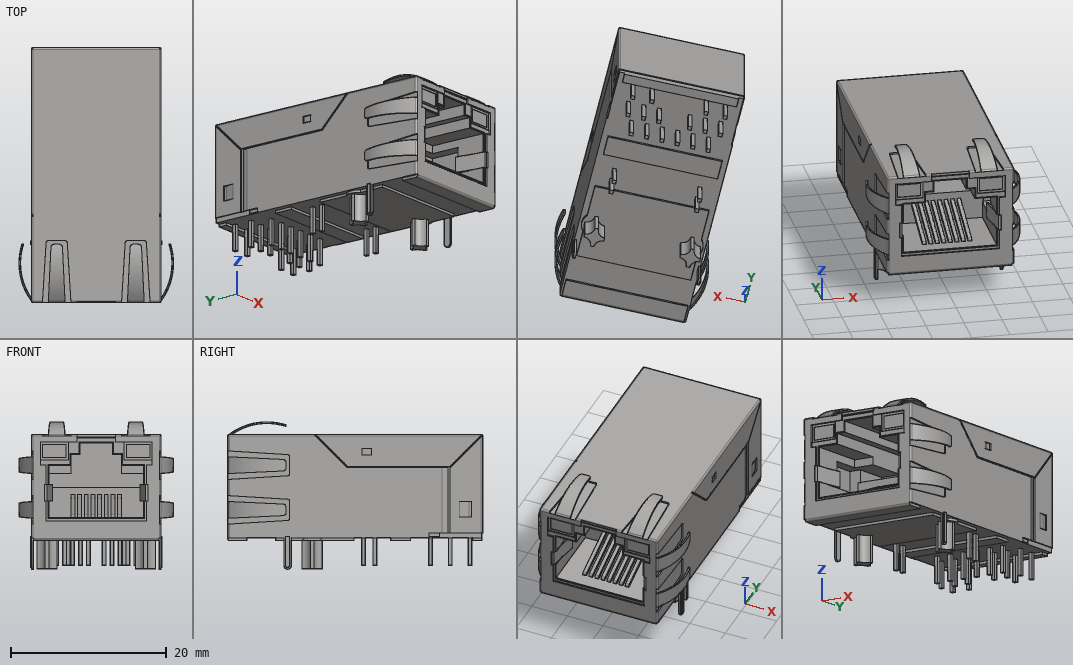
import cadquery as cq
import math


half_width = 8.33
length = 32.8
height = 13.32
sheet = 0.213
bend_radius = 0.23

spring_rise = 1.6
spring_crest_y = 5.05
spring_root_y = 0.2
spring_tip_y = 7.5
spring_root_half = 1.08
spring_tip_half = 0.72
spring_corner = 0.43
slot_corner = 0.25
spring_gap = 0.45
slot_root_half = 1.85
slot_tip_half = 1.35
top_spring_x = 5.1
side_spring_heights = (3.6, 9.35)

cavity_half = 6.23
cavity_floor = 2.5
shoulder_z = 9.45
shoulder_half = 3.38
latch_z = 10.85
latch_half = 2.23
lip_half = 2.45
lip_z = 13.0
lip_setback = 0.13
lip_slit = 0.13
cavity_top = 12.33
mouth_depth = 0.33
mouth_step = 0.13
cavity_depth = 14.75
ledge_y = 8.53
ledge_z = 8.25
carrier_y = 9.5
carrier_top = 6.5

light_inner = 3.58
light_outer = 7.18
light_bottom = 10.05
light_rim = 0.3
light_rim_depth = 0.33
light_depth = 0.4
light_frame_bottom = 9.35

wing_bottom = 4.75
wing_top = 6.85
wing_recess_half = 6.65
wing_recess_depth = 9.85
wing_pocket_half = 7.7
wing_root_x = 6.33
wing_tip_x = 5.6
wing_tip_y = 4.43

contact_count = 8
contact_pitch = 0.85
contact_width = 0.5
contact_tip_y = 2.25
contact_tip_radius = 0.3
contact_tip_top = 2.92
contact_root_top = 5.67

foot_drop = 0.35
pin_end = -3.55
pin_width = 0.5
peg_x = 6.33
peg_y = 10.85
peg_radius = 1.3
peg_flute_radius = 1.08
peg_collar_radius = 1.67
peg_end = -3.97
tail_end = -4.05
tail_y = 7.7
tail_width = 0.95
tail_inner_x = 8.07
tail_rib_width = 0.5
tail_rib_height = 0.13
tail_rib_top = 0.2

panel_seam = 0.13
panel_bottom = 0.65
flap_bottom = 9.12
flap_rear_y = 28.6
flap_front_y = 15.38
rear_curl_y = 27.55
rear_gap_y = 28.3
side_panel_end_y = 25.88
rear_notch_y = 27.25


def box(x0, x1, y0, y1, z0, z1):
    return cq.Workplane("XY").box(x1 - x0, y1 - y0, z1 - z0, centered=False).translate((x0, y0, z0))


def both_sides(solid):
    """The solid together with its mirror image across the middle plane X = 0."""
    return solid.union(solid.mirror("YZ"))


def symmetric_prism(half_outline, y0, y1, inset=0.0):
    """Prism along Y; the outline gives its right half from top to bottom as (x, z)."""
    left = [(-x, z) for x, z in reversed(half_outline)]
    outline = cq.Workplane("XZ", origin=(0, y0, 0)).polyline(half_outline + left).close()
    if inset:
        outline = outline.offset2D(-inset, "intersection")
    return outline.extrude(y0 - y1)



def tapered_plan(root_half, tip_half, end_y, corner, bottom, top):
    points = [(-root_half, 0), (root_half, 0), (tip_half, end_y), (-tip_half, end_y)]
    plan = cq.Workplane("XY", origin=(0, 0, bottom)).polyline(points).close().extrude(top - bottom)
    return plan.edges("|Z and >Y").fillet(corner)


def spring_slot():
    return tapered_plan(slot_root_half, slot_tip_half, spring_tip_y + spring_gap, slot_corner, -sheet, 0.33)


def spring():
    run = spring_crest_y - spring_root_y
    radius = (run ** 2 + spring_rise ** 2) / (2 * spring_rise)
    inner_radius = radius - sheet
    centre_z = spring_rise - radius

    def on_arc(arc_radius, y):
        return (y, centre_z + math.sqrt(arc_radius ** 2 - (y - spring_crest_y) ** 2))

    embed = -sheet - 0.03
    inner_root_y = spring_crest_y - math.sqrt(inner_radius ** 2 - (embed - centre_z) ** 2)
    strip = (
        cq.Workplane("YZ", origin=(-spring_root_half, 0, 0))
        .moveTo(0, embed)
        .lineTo(0, -bend_radius)
        .lineTo(spring_root_y, 0)
        .threePointArc((spring_crest_y, spring_rise), on_arc(radius, spring_tip_y))
        .lineTo(*on_arc(inner_radius, spring_tip_y))
        .threePointArc((spring_crest_y, spring_rise - sheet), (inner_root_y, embed))
        .close()
        .extrude(2 * spring_root_half)
    )
    plan = tapered_plan(spring_root_half, spring_tip_half, spring_tip_y, spring_corner, -0.33, spring_rise + 0.33)
    return strip.intersect(plan)


def at_spring_places(solid):
    """Two copies on the top wall and two on each side wall."""
    turned = solid.rotate((0, 0, 0), (0, 1, 0), 90)
    places = solid.translate((top_spring_x, 0, height))
    for z in side_spring_heights:
        places = places.union(turned.translate((half_width, 0, z)))
    return both_sides(places)



def shield_body():
    body = box(-half_width, half_width, 0, length, 0, height)
    return body.edges("|Z or >Z").fillet(bend_radius)


def flap_seam():
    """Seam around the trapezoid flap that the top cover folds over each side."""
    above = height + 0.65
    slope_run = above - flap_bottom
    points = [
        (flap_rear_y + slope_run, above),
        (flap_rear_y, flap_bottom),
        (flap_front_y, flap_bottom),
        (flap_front_y - slope_run, above),
    ]

    def flap(offset):
        outline = cq.Workplane("YZ", origin=(half_width - sheet, 0, 0)).polyline(points).close()
        return outline.offset2D(offset, "intersection").extrude(0.33)

    return flap(panel_seam / 2).cut(flap(-panel_seam / 2))


def rear_gap():
    """Upright gap before the rear panel, where the side panel curls inward."""
    inner_x = half_width - sheet
    curl_mid_y = (rear_curl_y + rear_gap_y) / 2
    return (
        cq.Workplane("XY", origin=(0, 0, panel_bottom))
        .moveTo(half_width, rear_curl_y)
        .threePointArc((half_width - 0.05, curl_mid_y), (inner_x, rear_gap_y))
        .lineTo(inner_x, flap_rear_y)
        .lineTo(half_width + 0.33, flap_rear_y)
        .lineTo(half_width + 0.33, rear_curl_y)
        .close()
        .extrude(flap_bottom - panel_bottom)
    )


def latch_windows():
    """Square hole in the flap and a window with a ramped catch in the rear panel."""
    inner_x = half_width - sheet
    window_bottom = 2.7
    window_height = 2.0
    ramp_start_y = 29.8
    ramp_end_y = 31.03
    window_end_y = 31.32
    square = box(inner_x, half_width + 0.33, 17.25, 18.45, 10.63, 11.5)
    ramp = (
        cq.Workplane("XY", origin=(0, 0, window_bottom))
        .moveTo(half_width, ramp_start_y)
        .lineTo(inner_x, ramp_end_y)
        .lineTo(inner_x, window_end_y)
        .lineTo(half_width, window_end_y)
        .close()
        .extrude(window_height)
    )
    return square.union(ramp)


def rear_base_step():
    """Exposed housing below the rear panel, set back from the shield."""
    setback = 0.13
    around = box(-half_width, half_width, side_panel_end_y, length, 0, panel_bottom)
    kept_half = half_width - setback
    step = around.cut(box(-kept_half, kept_half, 0, length - setback, 0, panel_bottom))
    notch = box(half_width - 2 * setback, half_width, side_panel_end_y, rear_notch_y, 0.15, panel_bottom)
    return step.union(both_sides(notch))



def face_opening():
    """Opening of the front shield plate, with a slit below the set-back edge of the cover."""
    frame_half = 6.43
    opening = symmetric_prism(
        [
            (lip_half, lip_z),
            (lip_half, cavity_top),
            (light_outer, cavity_top),
            (light_outer, light_frame_bottom),
            (frame_half, light_frame_bottom),
            (frame_half, wing_top),
            (wing_recess_half, wing_top),
            (wing_recess_half, wing_bottom),
            (frame_half, wing_bottom),
            (frame_half, 2.2),
        ],
        0,
        sheet,
    )
    cover_setback = box(-lip_half, lip_half, 0, lip_setback, lip_z, height)
    slit = box(-lip_half, lip_half, 0, 2 * sheet, lip_z - lip_slit, lip_z)
    return opening.union(cover_setback).union(slit)


def socket_cavity():
    mouth = [
        (latch_half, cavity_top),
        (latch_half, latch_z),
        (shoulder_half, latch_z),
        (shoulder_half, shoulder_z),
        (cavity_half, shoulder_z),
        (cavity_half, cavity_floor),
    ]
    cavity = symmetric_prism(mouth, 0, mouth_depth)
    cavity = cavity.union(symmetric_prism(mouth, 0, cavity_depth, mouth_step))
    ledge = box(shoulder_half - mouth_step, cavity_half, ledge_y, cavity_depth, ledge_z, shoulder_z)
    carrier = box(-cavity_half, cavity_half, carrier_y, cavity_depth, 0, carrier_top)
    recess = box(0, wing_recess_half, 0, wing_recess_depth, wing_bottom, wing_top)
    pocket = box(0, wing_pocket_half, wing_tip_y, wing_recess_depth, wing_bottom, ledge_z)
    return cavity.cut(both_sides(ledge)).union(both_sides(recess.union(pocket))).cut(carrier)


def light_window():
    """Stepped recess of each indicator light."""
    rim = box(light_inner, light_outer, 0, light_rim_depth, light_bottom, cavity_top)
    lens = box(
        light_inner + light_rim, light_outer - light_rim, 0, light_depth,
        light_bottom + light_rim, cavity_top - light_rim,
    )
    return both_sides(rim.union(lens))


def side_wing():
    """Bent shield strip that leans from the recess into the socket."""
    outer = wing_recess_half + 0.13
    strip = (
        cq.Workplane("XY", origin=(0, 0, wing_bottom))
        .polyline([
            (outer, sheet),
            (wing_root_x, sheet),
            (wing_tip_x, wing_tip_y),
            (wing_tip_x + sheet, wing_tip_y),
            (outer, 0.65),
        ])
        .close()
        .extrude(wing_top - wing_bottom)
    )
    return both_sides(strip)


def contacts():
    root_y = carrier_y + 0.33
    profile = [
        (contact_tip_y, cavity_floor),
        (contact_tip_y, contact_tip_top),
        (root_y, contact_root_top),
        (root_y, contact_root_top - contact_tip_top + cavity_floor),
    ]
    bar = cq.Workplane("YZ").polyline(profile).close().extrude(contact_width / 2, both=True)
    bar = bar.faces("<Y").edges(">Z").fillet(contact_tip_radius)
    row = cq.Workplane("XY")
    for i in range(contact_count):
        row = row.add(bar.translate(((i - (contact_count - 1) / 2) * contact_pitch, 0, 0)))
    return row.combine()



def feet():
    front_half = 8.07
    rear_half = 7.55
    front_pad = box(-front_half, front_half, 0, 2.45, -foot_drop, 0.33)
    pads = cq.Workplane("XY").add(front_pad.faces("<Y").edges("<Z").fillet(0.3))
    for y0, y1 in ((6.15, 16.27), (20.95, 23.52), (31.5, 32.67)):
        pads = pads.add(box(-rear_half, rear_half, y0, y1, -foot_drop, 0.33))
    return pads.combine()


def solder_pins():
    rows = (
        (17.45, (5.65,)),
        (18.93, (5.65,)),
        (26.08, (1.02, 3.05, 5.1)),
        (28.6, (2.05, 4.07, 6.1)),
        (31.15, (3.58, 6.1)),
    )
    half = pin_width / 2
    pins = cq.Workplane("XY")
    for y, places in rows:
        for x in places:
            pins = pins.add(box(x - half, x + half, y - half, y + half, pin_end, 0.33))
    return both_sides(pins.combine())


def mounting_peg():
    """Cross-shaped peg: a round post with four hollow flutes below a round collar."""
    post = cq.Workplane("XY").circle(peg_radius).extrude(peg_end)
    flutes = (
        cq.Workplane("XY")
        .rect(2 * peg_radius, 2 * peg_radius, forConstruction=True)
        .vertices()
        .circle(peg_flute_radius)
        .extrude(peg_end)
    )
    collar = cq.Workplane("XY", origin=(0, 0, 0.33)).circle(peg_collar_radius).extrude(-foot_drop - 0.33)
    return both_sides(post.cut(flutes).union(collar).translate((peg_x, peg_y, 0)))


def upright_strip(width, x0, x1, bottom, top):
    """Strip of the tail, standing on Z and rounded at its lower end."""
    strip = box(x0, x1, tail_y - width / 2, tail_y + width / 2, bottom, top)
    nearly_half_round = 0.48 * width
    return strip.edges("|X and <Z").fillet(nearly_half_round)


def shield_tail():
    """Solder tail of the shield with a stiffening rib on its outer face."""
    plate = upright_strip(tail_width, tail_inner_x, half_width, tail_end, 0.33)
    rib = upright_strip(
        tail_rib_width, tail_inner_x, half_width + tail_rib_height, tail_end + 0.23, tail_rib_top
    )
    return both_sides(plate.union(rib))


result = shield_body()
result = result.cut(at_spring_places(spring_slot())).union(at_spring_places(spring()))
result = result.cut(both_sides(flap_seam().union(rear_gap()).union(latch_windows())))
result = result.cut(rear_base_step())
result = result.cut(face_opening()).cut(socket_cavity()).cut(light_window())
result = result.union(side_wing()).union(contacts())
result = result.union(feet()).union(solder_pins()).union(mounting_peg()).union(shield_tail())